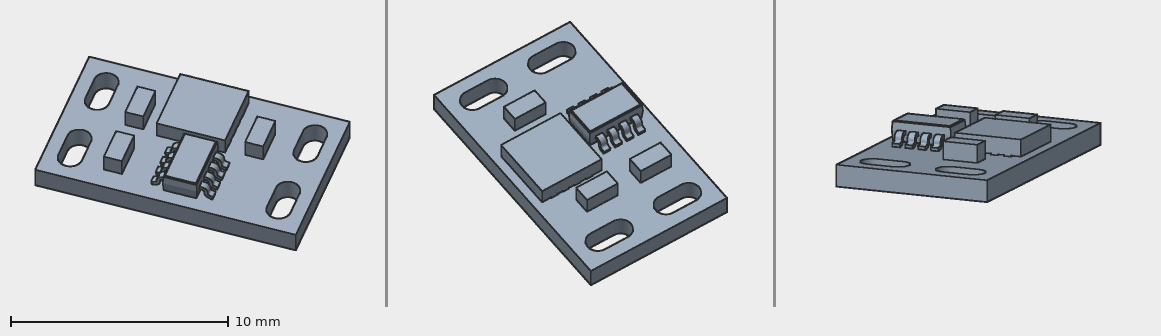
import cadquery as cq
import math

BOARD_LENGTH = 12.7
BOARD_WIDTH = 7.62
BOARD_THICKNESS = 1.04

SLOT_WIDTH = 1.143
SLOT_TRAVEL = 1.27
SLOT_LENGTH = SLOT_WIDTH + SLOT_TRAVEL
SLOT_X = 5.08
SLOT_Y = 1.905

CAPACITOR_WIDTH = 0.88
CAPACITOR_LENGTH = 1.72
CAPACITOR_HEIGHT = 0.86
TERMINAL_LENGTH = 0.3
CAPACITOR_CENTERS = [(-2.92, 1.1), (2.92, 1.1), (-2.92, -1.905)]

LEADLESS_SIDE = 3.33
LEADLESS_HEIGHT = 0.86
LEADLESS_STANDOFF = 0.05
LEADLESS_CENTER = (-0.09, 1.695)
PAD_WIDTH = 0.36
PAD_LENGTH = 0.4
PAD_HEIGHT = 0.17

CONTACTS_PER_SIDE = 4
CONTACT_PITCH = 0.65

PACKAGE_WIDTH = 1.68
PACKAGE_LENGTH = 2.99
PACKAGE_TOP = 1.08
PACKAGE_STANDOFF = 0.08
PARTING_HEIGHT = 0.645
PACKAGE_DRAFT = 5.0
PACKAGE_CHAMFER = 0.05
PACKAGE_CENTER = (0.512, -1.78)

LEAD_WIDTH = 0.37
LEAD_THICKNESS = 0.175
LEAD_LEG_X = 1.255
LEAD_TIP_X = 1.515
SHOULDER_RADIUS = 0.31
ANKLE_RADIUS = 0.1
ANKLE_HEIGHT = 0.31
FOOT_SLOPE = math.radians(13)
LEAD_ROOT_DEPTH = 0.2
SOLDER_DEPTH = 0.01


def standing_box(size_x, size_y, bottom, top, center=(0, 0)):
    """Box centred at a point in XY, spanning bottom to top above the board surface."""
    box = cq.Workplane("XY").box(size_x, size_y, top - bottom, centered=(True, True, False))
    return box.translate((center[0], center[1], BOARD_THICKNESS + bottom))


def contact_offsets():
    """Y offsets of one row of contacts about its package centre."""
    middle = (CONTACTS_PER_SIDE - 1) / 2
    return [(i - middle) * CONTACT_PITCH for i in range(CONTACTS_PER_SIDE)]


def make_board():
    board = cq.Workplane("XY").box(
        BOARD_LENGTH, BOARD_WIDTH, BOARD_THICKNESS, centered=(True, True, False)
    )
    slots = (
        cq.Workplane("XY")
        .rarray(2 * SLOT_X, 2 * SLOT_Y, 2, 2)
        .slot2D(SLOT_LENGTH, SLOT_WIDTH, 90)
        .extrude(BOARD_THICKNESS)
    )
    return board.cut(slots)


def make_capacitor(center):
    """Ceramic body and two flush end terminals, as three touching blocks."""
    x, y = center
    ceramic_length = CAPACITOR_LENGTH - 2 * TERMINAL_LENGTH
    terminal_offset = (ceramic_length + TERMINAL_LENGTH) / 2
    blocks = [standing_box(CAPACITOR_WIDTH, ceramic_length, 0, CAPACITOR_HEIGHT, center)]
    for side in (-1, 1):
        terminal_center = (x, y + side * terminal_offset)
        blocks.append(
            standing_box(CAPACITOR_WIDTH, TERMINAL_LENGTH, 0, CAPACITOR_HEIGHT, terminal_center)
        )
    return blocks


def make_leadless_package():
    """Raised square body and its pads, whose outer ends are flush with the body sides."""
    x, y = LEADLESS_CENTER
    pad_offset = (LEADLESS_SIDE - PAD_LENGTH) / 2
    blocks = [
        standing_box(
            LEADLESS_SIDE, LEADLESS_SIDE, LEADLESS_STANDOFF, LEADLESS_HEIGHT, LEADLESS_CENTER
        )
    ]
    for side in (-1, 1):
        for offset in contact_offsets():
            pad_center = (x + side * pad_offset, y + offset)
            blocks.append(standing_box(PAD_LENGTH, PAD_WIDTH, 0, PAD_HEIGHT, pad_center))
    return blocks


def make_package_half(height):
    """Half of the leaded package body; a negative height builds it downwards."""
    half = (
        cq.Workplane("XY")
        .rect(PACKAGE_WIDTH, PACKAGE_LENGTH)
        .extrude(height, taper=PACKAGE_DRAFT)
    )
    outer_face = ">Z" if height > 0 else "<Z"
    half = half.faces(outer_face).chamfer(PACKAGE_CHAMFER)
    return half.translate((*PACKAGE_CENTER, BOARD_THICKNESS + PARTING_HEIGHT))


def point_on_circle(center, radius, angle):
    return (center[0] + radius * math.cos(angle), center[1] + radius * math.sin(angle))


def make_lead():
    """Lead on the +X side, centred on Y = 0, with the board surface at Z = 0."""
    root_x = PACKAGE_WIDTH / 2 - LEAD_ROOT_DEPTH
    inner_leg_x = LEAD_LEG_X - LEAD_THICKNESS
    under_shoulder = PARTING_HEIGHT - LEAD_THICKNESS
    shoulder = (LEAD_LEG_X - SHOULDER_RADIUS, PARTING_HEIGHT - SHOULDER_RADIUS)
    shoulder_inner_radius = SHOULDER_RADIUS - LEAD_THICKNESS
    ankle = (LEAD_LEG_X + ANKLE_RADIUS, ANKLE_HEIGHT)
    ankle_outer_radius = ANKLE_RADIUS + LEAD_THICKNESS

    shoulder_middle = math.pi / 4
    ankle_end = 3 * math.pi / 2 - FOOT_SLOPE
    ankle_middle = (math.pi + ankle_end) / 2

    instep = point_on_circle(ankle, ANKLE_RADIUS, ankle_end)
    toe_top = (LEAD_TIP_X, instep[1] - (LEAD_TIP_X - instep[0]) * math.tan(FOOT_SLOPE))
    toe_bottom = point_on_circle(toe_top, LEAD_THICKNESS, ankle_end)
    toe_anchor = (toe_bottom[0], -SOLDER_DEPTH)

    profile = (
        cq.Workplane("XZ")
        .moveTo(root_x, PARTING_HEIGHT)
        .lineTo(shoulder[0], PARTING_HEIGHT)
        .threePointArc(
            point_on_circle(shoulder, SHOULDER_RADIUS, shoulder_middle),
            (LEAD_LEG_X, shoulder[1]),
        )
        .lineTo(LEAD_LEG_X, ANKLE_HEIGHT)
        .threePointArc(point_on_circle(ankle, ANKLE_RADIUS, ankle_middle), instep)
        .lineTo(*toe_top)
        .lineTo(*toe_anchor)
        .lineTo(*point_on_circle(ankle, ankle_outer_radius, ankle_end))
        .threePointArc(
            point_on_circle(ankle, ankle_outer_radius, ankle_middle),
            (inner_leg_x, ANKLE_HEIGHT),
        )
        .lineTo(inner_leg_x, shoulder[1])
        .threePointArc(
            point_on_circle(shoulder, shoulder_inner_radius, shoulder_middle),
            (shoulder[0], under_shoulder),
        )
        .lineTo(root_x, under_shoulder)
        .close()
    )
    return profile.extrude(LEAD_WIDTH / 2, both=True)


def make_leaded_package():
    """Both halves of the body and the two rows of leads."""
    x, y = PACKAGE_CENTER
    right_lead = make_lead()
    left_lead = right_lead.mirror("YZ")
    pieces = [
        make_package_half(PACKAGE_TOP - PARTING_HEIGHT),
        make_package_half(PACKAGE_STANDOFF - PARTING_HEIGHT),
    ]
    for lead in (left_lead, right_lead):
        for offset in contact_offsets():
            pieces.append(lead.translate((x, y + offset, BOARD_THICKNESS)))
    return pieces


components = make_leadless_package() + make_leaded_package()
for capacitor_center in CAPACITOR_CENTERS:
    components += make_capacitor(capacitor_center)

result = make_board()
for component in components:
    result = result.union(component, clean=False)